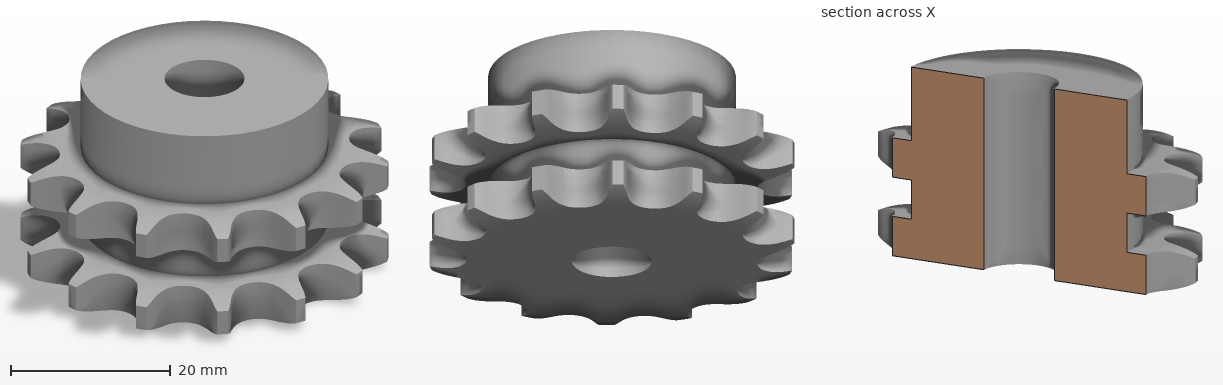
import cadquery as cq
import math


tooth_count = 14
chain_pitch = 9.55
roller_diameter = 6.35
strand_spacing = 10.25

outside_radius = 23.15
tooth_width = 5.2
hub_diameter = 31.0
hub_height = 25.0
bore_diameter = 10.0

relief_start_radius = 18.7
relief_depth = 0.95

pitch_radius = chain_pitch / (2 * math.sin(math.pi / tooth_count))
half_tooth_angle = 180 / tooth_count
seat_clearance = 0.05
seat_radius = 0.5025 * roller_diameter + seat_clearance
seat_end_angle = 35 + 60 / tooth_count
working_sweep = 18 - 56 / tooth_count
working_center_distance = 0.8 * roller_diameter
topping_center_distance = 1.4 * roller_diameter
topping_angle = 17 - 64 / tooth_count


def offset_point(origin, distance, degrees):
    """Point at a distance and direction from an origin."""
    angle = math.radians(degrees)
    return (origin[0] + distance * math.cos(angle), origin[1] + distance * math.sin(angle))


def mirrored(point):
    """Same point on the other flank of a gap that is symmetric about the Y axis."""
    return (-point[0], point[1])


def tooth_gap():
    """Cutter for the gap centred on +Y: roller seat, working arcs, straights and topping arcs."""
    roller_center = (0, pitch_radius)
    seat_bottom = offset_point(roller_center, seat_radius, -90)
    seat_end = offset_point(roller_center, seat_radius, -seat_end_angle)

    working_center = offset_point(roller_center, working_center_distance, 180 - seat_end_angle)
    working_radius = seat_radius + working_center_distance
    flank_angle = working_sweep - seat_end_angle
    working_mid = offset_point(working_center, working_radius, flank_angle - working_sweep / 2)
    working_end = offset_point(working_center, working_radius, flank_angle)

    topping_center = offset_point(roller_center, topping_center_distance, -half_tooth_angle)
    straight_length = (topping_center_distance * math.sin(math.radians(topping_angle))
                       - working_center_distance * math.sin(math.radians(working_sweep)))
    straight_end = offset_point(working_end, straight_length, flank_angle + 90)
    topping_radius = math.dist(topping_center, straight_end)
    topping_start_angle = 180 + flank_angle

    center_distance = math.hypot(*topping_center)
    center_direction = math.degrees(math.atan2(topping_center[1], topping_center[0]))
    tip_cosine = (outside_radius**2 + center_distance**2 - topping_radius**2) / (
        2 * outside_radius * center_distance)
    tip = offset_point((0, 0), outside_radius, center_direction + math.degrees(math.acos(tip_cosine)))
    tip_angle = math.degrees(math.atan2(tip[1] - topping_center[1], tip[0] - topping_center[0]))
    topping_mid = offset_point(topping_center, topping_radius, (topping_start_angle + tip_angle) / 2)

    clear_of_disc = 1.1
    outer_corner = (tip[0] * clear_of_disc, tip[1] * clear_of_disc)

    return (
        cq.Workplane("XY")
        .moveTo(*outer_corner)
        .lineTo(*tip)
        .threePointArc(topping_mid, straight_end)
        .lineTo(*working_end)
        .threePointArc(working_mid, seat_end)
        .threePointArc(seat_bottom, mirrored(seat_end))
        .threePointArc(mirrored(working_mid), mirrored(working_end))
        .lineTo(*mirrored(straight_end))
        .threePointArc(mirrored(topping_mid), mirrored(tip))
        .lineTo(*mirrored(outer_corner))
        .close()
        .extrude(tooth_width)
    )


def toothed_disc():
    """Disc with relieved rim and all tooth gaps cut, standing on Z = 0."""
    relief_length = outside_radius - relief_start_radius
    relief_radius = (relief_length**2 + relief_depth**2) / (2 * relief_depth)
    disc = (
        cq.Workplane("XZ")
        .lineTo(relief_start_radius, 0)
        .radiusArc((outside_radius, relief_depth), -relief_radius)
        .lineTo(outside_radius, tooth_width - relief_depth)
        .radiusArc((relief_start_radius, tooth_width), -relief_radius)
        .lineTo(0, tooth_width)
        .close()
        .revolve(360, (0, 0, 0), (0, 1, 0))
    )
    gap = tooth_gap()
    for index in range(tooth_count):
        disc = disc.cut(gap.rotate((0, 0, 0), (0, 0, 1), index * 360 / tooth_count))
    return disc


disc = toothed_disc()
hub = cq.Workplane("XY").circle(hub_diameter / 2).extrude(hub_height)
bore = cq.Workplane("XY").circle(bore_diameter / 2).extrude(hub_height)
result = hub.union(disc).union(disc.translate((0, 0, strand_spacing))).cut(bore)